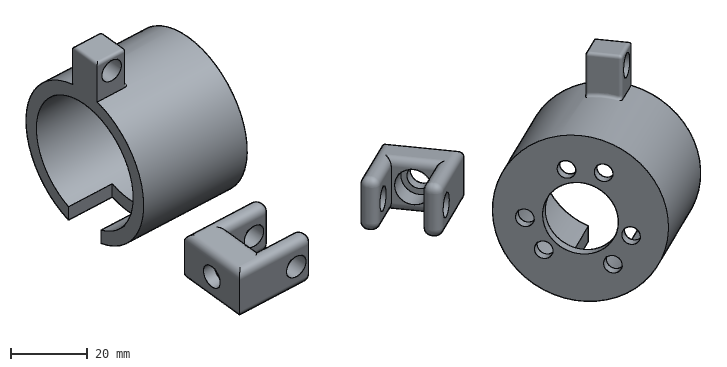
import cadquery as cq
import math


OUTER_DIAMETER = 47.25
INNER_DIAMETER = 38.8
HOUSING_LENGTH = 35.5
FLOOR_THICKNESS = 3.0
SHAFT_HOLE_DIAMETER = 20.3
SLOT_WIDTH = 13.0
SLOT_LENGTH = 15.0

SCREW_HOLE_DIAMETER = 5.0
SCREWS_PER_SET = 3
OUTER_SCREW_RADIUS = 15.0
OUTER_SCREW_START_ANGLE = 114.5
INNER_SCREW_RADIUS = 14.0
INNER_SCREW_START_ANGLE = 74.5

TAB_SIZE = 9.9
TAB_TOP = 35.6
TAB_FILLET = 0.9
PIVOT_DIAMETER = 6.7
TAB_PIVOT_BELOW_TOP = 4.6

CLEVIS_CENTER_X = 50.9
CLEVIS_CENTER_Z = -7.4
CLEVIS_WIDTH = 22.1
CLEVIS_LENGTH = 25.0
CLEVIS_HEIGHT = 15.0
ARM_THICKNESS = 5.1
BRIDGE_LENGTH = 10.45
BRIDGE_HOLE_DEPTH = 3.7
BRIDGE_RECESS_DIAMETER = 10.0
CLEVIS_FILLET = 2.3
ARM_PIVOT_FROM_END = 5.5


def cylinder_along_y(diameter, start, length, x=0, z=0):
    axis_start = cq.Vector(x, start, z)
    return cq.Workplane(cq.Solid.makeCylinder(diameter / 2, length, axis_start, cq.Vector(0, 1, 0)))


def pivot_bore(center_x, y, z, width):
    """Cylinder along X, centred on the given point, that passes through the given width."""
    axis_start = cq.Vector(center_x - width / 2, y, z)
    return cq.Workplane(cq.Solid.makeCylinder(PIVOT_DIAMETER / 2, width, axis_start, cq.Vector(1, 0, 0)))


def box_from_front(width, length, bottom, top):
    """Box centred on X = 0 that starts at the front face."""
    box = cq.Workplane().box(width, length, top - bottom, centered=(True, False, False))
    return box.translate((0, 0, bottom))


def cut_screw_set(body, radius, start_angle):
    for index in range(SCREWS_PER_SET):
        angle = math.radians(start_angle + index * 360 / SCREWS_PER_SET)
        x = radius * math.cos(angle)
        z = radius * math.sin(angle)
        body = body.cut(cylinder_along_y(SCREW_HOLE_DIAMETER, 0, HOUSING_LENGTH, x, z))
    return body


def make_solid_blank():
    """Solid cylinder with the tab on top, its back blended into the cylinder."""
    tab = box_from_front(TAB_SIZE, TAB_SIZE, INNER_DIAMETER / 2, TAB_TOP)
    body = cylinder_along_y(OUTER_DIAMETER, 0, HOUSING_LENGTH).union(tab)
    back_foot = cq.selectors.BoxSelector(
        (-TAB_SIZE / 2, TAB_SIZE - TAB_FILLET, OUTER_DIAMETER / 2 - TAB_FILLET),
        (TAB_SIZE / 2, TAB_SIZE + TAB_FILLET, OUTER_DIAMETER / 2 + TAB_FILLET),
    )
    body = body.edges(back_foot).fillet(TAB_FILLET)
    back_corners = cq.selectors.BoxSelector(
        (-TAB_SIZE, TAB_SIZE - TAB_FILLET, OUTER_DIAMETER / 2 + TAB_FILLET),
        (TAB_SIZE, TAB_SIZE + TAB_FILLET, TAB_TOP - TAB_FILLET),
    )
    top_outline = body.faces(">Z").edges()
    return body.edges(back_corners).add(top_outline).fillet(TAB_FILLET)


def make_housing():
    body = make_solid_blank()
    body = body.cut(cylinder_along_y(INNER_DIAMETER, 0, HOUSING_LENGTH - FLOOR_THICKNESS))
    body = body.cut(cylinder_along_y(SHAFT_HOLE_DIAMETER, 0, HOUSING_LENGTH))
    body = cut_screw_set(body, OUTER_SCREW_RADIUS, OUTER_SCREW_START_ANGLE)
    body = cut_screw_set(body, INNER_SCREW_RADIUS, INNER_SCREW_START_ANGLE)
    body = body.cut(box_from_front(SLOT_WIDTH, SLOT_LENGTH, -OUTER_DIAMETER / 2, 0))
    return body.cut(pivot_bore(0, TAB_SIZE / 2, TAB_TOP - TAB_PIVOT_BELOW_TOP, TAB_SIZE))


def make_clevis():
    bottom = CLEVIS_CENTER_Z - CLEVIS_HEIGHT / 2
    top = bottom + CLEVIS_HEIGHT
    gap_width = CLEVIS_WIDTH - 2 * ARM_THICKNESS
    gap = box_from_front(gap_width, CLEVIS_LENGTH, bottom, top).translate((0, BRIDGE_LENGTH, 0))
    body = box_from_front(CLEVIS_WIDTH, CLEVIS_LENGTH, bottom, top).cut(gap)

    body = body.edges("(|Z and >Y) or >Z or <Z").fillet(CLEVIS_FILLET)

    pivot_y = CLEVIS_LENGTH - ARM_PIVOT_FROM_END
    body = body.cut(pivot_bore(0, pivot_y, CLEVIS_CENTER_Z, CLEVIS_WIDTH))
    body = body.cut(cylinder_along_y(PIVOT_DIAMETER, 0, BRIDGE_LENGTH, 0, CLEVIS_CENTER_Z))
    recess_depth = BRIDGE_LENGTH - BRIDGE_HOLE_DEPTH
    recess = cylinder_along_y(BRIDGE_RECESS_DIAMETER, BRIDGE_HOLE_DEPTH, recess_depth, 0, CLEVIS_CENTER_Z)
    body = body.cut(recess)
    return body.translate((CLEVIS_CENTER_X, 0, 0))


housing = make_housing()
clevis = make_clevis()

result = cq.Compound.makeCompound([housing.val(), clevis.val()])